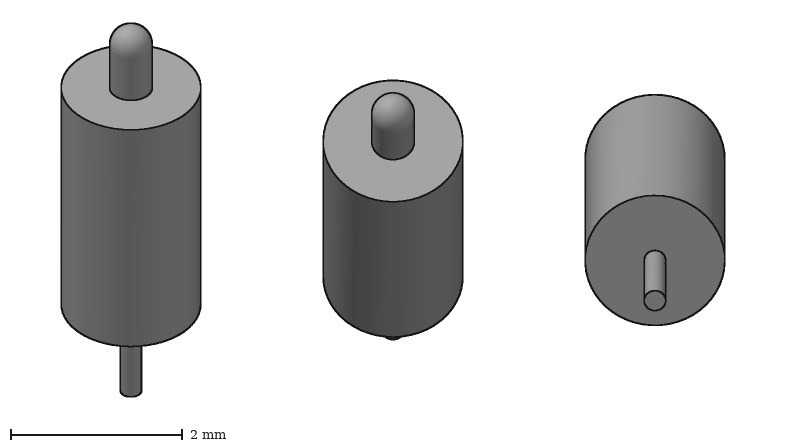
import cadquery as cq

total_length = 5.33
barrel_diameter = 1.63
barrel_length = 3.18
tail_diameter = 0.25
tail_length = 1.27
plunger_diameter = 0.5

barrel_bottom = tail_length
barrel_top = barrel_bottom + barrel_length
plunger_length = total_length - barrel_top
plunger_radius = plunger_diameter / 2


def make_barrel():
    """Cylindrical barrel with its thin solder tail below, as one solid."""
    body = cq.Workplane("XY").workplane(offset=barrel_bottom).circle(barrel_diameter / 2).extrude(barrel_length)
    tail = cq.Workplane("XY").circle(tail_diameter / 2).extrude(tail_length)
    return body.union(tail)


def make_plunger():
    """Round contact pin with a hemispherical tip, standing on the barrel's top face."""
    shank_length = plunger_length - plunger_radius
    shank = cq.Workplane("XY").workplane(offset=barrel_top).circle(plunger_radius).extrude(shank_length)
    dome_center = (0, 0, barrel_top + shank_length)
    dome = cq.Workplane("XY").sphere(plunger_radius).translate(dome_center)
    return shank.union(dome)


barrel = make_barrel()
plunger = make_plunger()

result = cq.Compound.makeCompound([barrel.val(), plunger.val()])